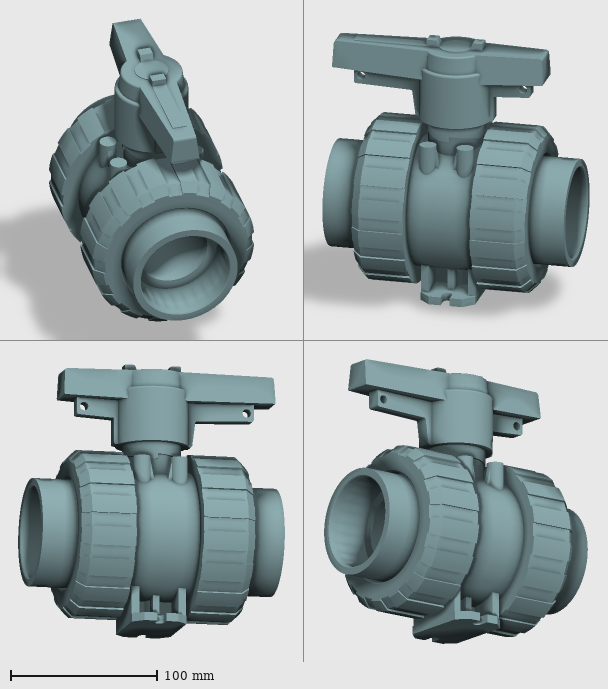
import cadquery as cq
import math


body_radius = 45.25
body_half_length = 45.0
bore_radius = 24.1
neck_radius = 19.0
collar_radius = 20.1
stop_low_z = 51.2
stop_rise = 3.5
stop_ramp_run = 12.9
stop_count = 4
neck_top_z = stop_low_z + stop_rise

pin_radius = 5.8
pin_x = 13.05
pin_y = 27.15
pin_top_z = 50.9
gusset_run = 2.4
gusset_top_z = 47.0
side_gusset_foot_z = 35.0
gusset_width = 3.4
inner_gusset_foot_z = 40.0
inner_gusset_offset = 2.0

foot_bottom_z = -63.87
foot_thickness = 5.7
foot_top_z = foot_bottom_z + foot_thickness
foot_half_width = 31.3
foot_min_x = -19.4
foot_max_x = 18.9
foot_chamfer = 7.3
foot_slot_radius = 3.2
foot_slot_depth = 10.0
cheek_thickness = 5.4
cheek_half_width = 23.1
spine_thickness = 5.0
cross_rib_thickness = 4.6
cross_rib_half_width = 14.4
foot_boss_radius = 6.0
support_embed = 1.0

overall_length = 169.75
pipe_radius = 37.1
flange_thickness = 7.0
flange_outer_x = body_half_length + flange_thickness
socket_radius = 31.5
socket_bottom_radius = 30.9
socket_depth = 30.0
socket_chamfer = 0.7

nut_radius = 57.5
nut_inner_x = 23.6
nut_outer_x = 60.85
nut_chamfer = 6.0
nut_bore_radius = 38.4
nut_bore_chamfer = 1.1
groove_count = 16
groove_width = 9.6
groove_depth = 1.5

hub_radius = 25.15
hub_bottom_z = 63.0
hub_shoulder_z = 101.2
hub_fillet = 1.8
handle_top_z = 113.5
dome_base_radius = 22.6
dome_top_radius = 21.2
dome_fillet = 1.4

arm_bottom_z = 93.3
arm_tip_bottom_z = 94.9
arm_left_tip = -63.9
arm_right_tip = overall_length / 2
arm_left_half_width = 12.1
arm_right_half_width = 10.4
arm_hub_half_width = 16.7
arm_side_draft = 2.45
arm_end_draft = 0.9
arm_tip_fillet = 2.0
arm_tip_relief = 0.3
arm_tip_relief_z = 97.2

web_thickness = 9.8
web_left_x = -53.4
web_right_x = 70.7
web_top_z = 109.5
web_tip_z = 82.8
web_root_z = 81.2
web_left_root_x = -27.4
web_right_root_x = 29.7
web_right_bottom_x = 27.3
web_fillet = 1.5
eye_radius = 2.9
eye_z = 88.4
eye_inset = 5.0

mark_height = 0.7
mark_top_z = handle_top_z + mark_height
mark_disc_radius = 11.5
strip_width = 10.0
overall_height = 182.67
lug_top_z = foot_bottom_z + overall_height
lug_outer_x = 19.5
lug_inner_top_x = 12.8
lug_inner_base_x = 10.8
left_lug_width = 9.0
right_lug_width = 9.8


def box(x_min, x_max, y_half, z_min, z_max):
    """Block centred on Y = 0."""
    block = cq.Workplane("XY").box(x_max - x_min, 2 * y_half, z_max - z_min, centered=(False, True, False))
    return block.translate((x_min, 0, z_min))


def mirrored(shape):
    """The copy of a body at the -X end."""
    return shape.mirror("YZ")


def mounting_pin():
    """Pin in the +X, +Y quarter with its two gussets; all end inside the body wall."""
    root_z = body_radius / 2
    pin = cq.Workplane("XY", origin=(pin_x, pin_y, root_z)).circle(pin_radius).extrude(pin_top_z - root_z)

    side_edge = pin_x - pin_radius
    side_gusset = (
        cq.Workplane("XZ", origin=(0, pin_y, 0))
        .moveTo(pin_x, root_z)
        .lineTo(side_edge - gusset_run, root_z)
        .lineTo(side_edge - gusset_run, side_gusset_foot_z)
        .lineTo(side_edge, gusset_top_z)
        .lineTo(pin_x, gusset_top_z)
        .close()
        .extrude(gusset_width / 2, both=True)
    )

    inner_edge = pin_y - math.sqrt(pin_radius**2 - inner_gusset_offset**2)
    inner_gusset = (
        cq.Workplane("YZ", origin=(pin_x + inner_gusset_offset, 0, 0))
        .moveTo(pin_y, root_z)
        .lineTo(inner_edge - gusset_run / 2, root_z)
        .lineTo(inner_edge - gusset_run / 2, inner_gusset_foot_z)
        .lineTo(inner_edge, gusset_top_z)
        .lineTo(pin_y, gusset_top_z)
        .close()
        .extrude(gusset_width / 2, both=True)
    )
    return pin.union(side_gusset).union(inner_gusset)


def mounting_foot():
    """Slotted plate carried by two cheeks, a spine, a cross rib and a boss."""
    foot = box(foot_min_x, foot_max_x, foot_half_width, foot_bottom_z, foot_top_z)
    foot = foot.edges("|Z").chamfer(foot_chamfer)
    for side in (-1, 1):
        slot = (
            cq.Workplane("XY", origin=(0, side * foot_half_width, foot_bottom_z))
            .slot2D(2 * foot_slot_depth, 2 * foot_slot_radius, 90)
            .extrude(foot_thickness)
        )
        foot = foot.cut(slot)

    supports = (
        (foot_min_x, foot_min_x + cheek_thickness, cheek_half_width),
        (foot_max_x - cheek_thickness, foot_max_x, cheek_half_width),
        (foot_min_x, foot_max_x, spine_thickness / 2),
        (-cross_rib_thickness / 2, cross_rib_thickness / 2, cross_rib_half_width),
    )
    for x_min, x_max, half_width in supports:
        body_surface_z = -math.sqrt(body_radius**2 - half_width**2)
        foot = foot.union(box(x_min, x_max, half_width, foot_top_z, body_surface_z + support_embed))
    boss_height = support_embed - math.sqrt(body_radius**2 - foot_boss_radius**2) - foot_top_z
    boss = cq.Workplane("XY", origin=(0, 0, foot_top_z)).circle(foot_boss_radius).extrude(boss_height)
    return foot.union(boss)


def make_body():
    body = cq.Workplane("YZ").circle(body_radius).extrude(body_half_length, both=True)
    body = body.union(cq.Workplane("XY").circle(neck_radius).extrude(neck_top_z))
    pin = mounting_pin()
    for quarter_pin in (pin, pin.mirror("YZ"), pin.mirror("XZ"), pin.mirror("YZ").mirror("XZ")):
        body = body.union(quarter_pin)
    body = body.union(mounting_foot())
    bore = cq.Workplane("YZ").circle(bore_radius).extrude(body_half_length, both=True)
    return body.cut(bore)


def make_end_connector():
    """Flange clamped by the nut, and a pipe with a tapered solvent socket."""
    end_x = overall_length / 2
    shoulder_x = end_x - socket_depth
    profile = (
        cq.Workplane("XY")
        .moveTo(body_half_length, bore_radius)
        .lineTo(body_half_length, body_radius)
        .lineTo(flange_outer_x, body_radius)
        .lineTo(flange_outer_x, pipe_radius)
        .lineTo(end_x, pipe_radius)
        .lineTo(end_x, socket_radius + socket_chamfer)
        .lineTo(end_x - socket_chamfer, socket_radius)
        .lineTo(shoulder_x, socket_bottom_radius)
        .lineTo(shoulder_x, bore_radius)
        .close()
    )
    return profile.revolve(360, (0, 0, 0), (1, 0, 0))


def nut_blank(outer_radius):
    blank = cq.Workplane("YZ").workplane(offset=nut_inner_x).circle(outer_radius)
    return blank.extrude(nut_outer_x - nut_inner_x).faces(">X").chamfer(nut_chamfer)


def make_nut():
    """Chamfered nut with parallel-sided grip grooves that follow the chamfer."""
    groove_tool = nut_blank(nut_radius).cut(nut_blank(nut_radius - groove_depth))
    nut = nut_blank(nut_radius)
    slab = box(nut_inner_x, nut_outer_x, groove_width / 2, nut_radius / 2, nut_radius)
    for index in range(groove_count):
        turned_slab = slab.rotate((0, 0, 0), (1, 0, 0), index * 360 / groove_count)
        nut = nut.cut(groove_tool.intersect(turned_slab))
    thread_bore = cq.Workplane("YZ", origin=(nut_inner_x, 0, 0)).circle(body_radius)
    nut = nut.cut(thread_bore.extrude(flange_outer_x - nut_inner_x))
    lip_bore = cq.Workplane("YZ", origin=(nut_inner_x, 0, 0)).circle(nut_bore_radius)
    nut = nut.cut(lip_bore.extrude(nut_outer_x - nut_inner_x))
    mouth = cq.Workplane("YZ", origin=(nut_outer_x, 0, 0)).circle(nut_bore_radius + nut_bore_chamfer)
    return nut.cut(mouth.extrude(-nut_bore_chamfer, taper=45))


def handle_hub():
    """Drum with a rounded shoulder and a slightly conical cap."""
    drum = cq.Workplane("XY", origin=(0, 0, hub_bottom_z)).circle(hub_radius)
    drum = drum.extrude(hub_shoulder_z - hub_bottom_z).faces(">Z").edges().fillet(hub_fillet)
    cap = (
        cq.Workplane("XY", origin=(0, 0, hub_shoulder_z))
        .circle(dome_base_radius)
        .workplane(offset=handle_top_z - hub_shoulder_z)
        .circle(dome_top_radius)
        .loft()
    )
    return drum.union(cap.faces(">Z").edges().fillet(dome_fillet))


def stop_collar():
    """Collar around the neck; its rim has four planar ramps, each ending in a step."""
    collar = cq.Workplane("XY", origin=(0, 0, stop_low_z)).circle(collar_radius)
    collar = collar.extrude(hub_bottom_z - stop_low_z)
    collar = collar.cut(cq.Workplane("XY").circle(neck_radius).extrude(neck_top_z))
    ramp = (
        cq.Workplane("XZ")
        .moveTo(-collar_radius, stop_low_z)
        .lineTo(-collar_radius, neck_top_z)
        .lineTo(-collar_radius + stop_ramp_run, stop_low_z)
        .close()
        .extrude(collar_radius)
    )
    for index in range(stop_count):
        collar = collar.cut(ramp.rotate((0, 0, 0), (0, 0, 1), index * 360 / stop_count))
    return collar


def arm_outline(z, side_inset, end_inset):
    left = arm_left_tip + end_inset
    right = arm_right_tip - end_inset
    left_half = arm_left_half_width - side_inset
    middle_half = arm_hub_half_width - side_inset
    right_half = arm_right_half_width - side_inset
    points = [
        (left, -left_half),
        (0, -middle_half),
        (right, -right_half),
        (right, right_half),
        (0, middle_half),
        (left, left_half),
    ]
    return cq.Wire.makePolygon([cq.Vector(x, y, z) for x, y in points], close=True)


def handle_arms():
    """Two drafted arms whose undersides rise towards their relieved tips."""
    lower = arm_outline(arm_bottom_z, 0, 0)
    upper = arm_outline(handle_top_z, arm_side_draft, arm_end_draft)
    arms = cq.Workplane(obj=cq.Solid.makeLoft([lower, upper], True))
    arms = arms.faces(">Z").edges("|Y").fillet(arm_tip_fillet)
    for tip_x, side in ((arm_left_tip, -1), (arm_right_tip, 1)):
        underside = (
            cq.Workplane("XZ")
            .moveTo(side * dome_top_radius, arm_bottom_z)
            .lineTo(tip_x, arm_bottom_z)
            .lineTo(tip_x, arm_tip_relief_z)
            .lineTo(tip_x - side * arm_tip_relief, arm_tip_bottom_z)
            .close()
            .extrude(arm_hub_half_width, both=True)
        )
        arms = arms.cut(underside)
    return arms


def handle_web():
    """Flat web below the arms with an eye near each end."""
    web = (
        cq.Workplane("XZ")
        .moveTo(web_left_x, web_top_z)
        .lineTo(web_left_x, web_tip_z)
        .lineTo(web_left_root_x, web_root_z)
        .lineTo(web_left_root_x, hub_bottom_z)
        .lineTo(web_right_bottom_x, hub_bottom_z)
        .lineTo(web_right_root_x, web_root_z)
        .lineTo(web_right_x, web_tip_z)
        .lineTo(web_right_x, web_top_z)
        .close()
        .extrude(web_thickness / 2, both=True)
    )
    right_root = cq.NearestToPointSelector((web_right_root_x, 0, web_root_z))
    web = web.edges("|Y").edges(right_root).fillet(web_fillet)
    web = web.faces("<Z").edges("|Y").fillet(web_fillet)
    web = web.faces("<X or >X").edges("|Y").fillet(web_fillet)
    eyes = cq.Workplane("XZ").pushPoints(
        [(web_left_x + eye_inset, eye_z), (web_right_x - eye_inset, eye_z)]
    )
    return web.cut(eyes.circle(eye_radius).extrude(web_thickness, both=True))


def lug(side, width):
    """Key on top of the handle with a sloped inner face."""
    profile = (
        cq.Workplane("XZ")
        .moveTo(side * lug_outer_x, handle_top_z)
        .lineTo(side * lug_outer_x, lug_top_z)
        .lineTo(side * lug_inner_top_x, lug_top_z)
        .lineTo(side * lug_inner_base_x, mark_top_z)
        .lineTo(side * lug_inner_base_x, handle_top_z)
        .close()
    )
    return profile.extrude(width / 2, both=True)


def make_handle():
    handle = handle_hub().union(stop_collar()).union(handle_arms()).union(handle_web())
    disc = cq.Workplane("XY", origin=(0, 0, handle_top_z)).circle(mark_disc_radius).extrude(mark_height)
    strip = box(0, web_right_x, strip_width / 2, handle_top_z, mark_top_z)
    handle = handle.union(disc).union(strip)
    return handle.union(lug(-1, left_lug_width)).union(lug(1, right_lug_width))


valve_body = make_body()
handle = make_handle()
end_connector = make_end_connector()
nut = make_nut()

result = cq.Compound.makeCompound([
    valve_body.val(),
    handle.val(),
    end_connector.val(),
    mirrored(end_connector).val(),
    nut.val(),
    mirrored(nut).val(),
])